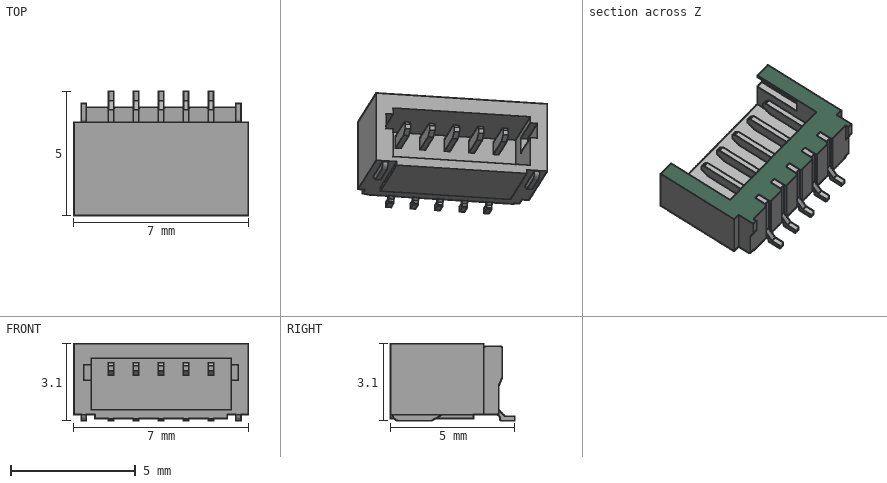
import cadquery as cq

pitch = 1.0
contact_count = 5
metal_thickness = 0.22
small_chamfer = 0.05

housing_width = 7
housing_depth = 3.75
housing_top = 3.1
housing_bottom = 0.25

pad_width = 5.32
pad_depth = 3.345
pad_bottom = 0.1

cavity_width = 5.615
cavity_depth = 3.0
cavity_bottom = 0.455
cavity_top = 2.505
key_slot_span = 6.195
key_slot_depth = 2.0
key_slot_bottom = 1.625
key_slot_top = 2.25

block_back = 4.355
block_top = 2.65

tail_end = 5.0
tail_height = 0.195
tail_bend = 4.6
tail_round = 0.05
heel = 4.395
heel_height = 0.155
leg_back = 4.25
pin_bottom = 1.84
pin_top = 2.345
pin_front = 1.0
pin_nose_bottom = 2.015
pin_nose_top = 2.205
pin_lower_taper = 0.35

hold_down_offset = 3.1
plate_back = 4.5
plate_top = 3.0
plate_step_top = 1.75
plate_step_bottom = 1.415
plate_round = 0.1
foot_front = 0.1
foot_ramp_bottom = 1.65
foot_ramp_top = 2.08


def box_between(width, front, back, bottom, top):
    """Box centred on X that fills the given Y and Z ranges."""
    box = cq.Workplane("XY").box(width, back - front, top - bottom, centered=(True, False, False))
    return box.translate((0, front, bottom))


def side_plane(center_x):
    """Y-Z sketch plane set so that a plate of metal thickness is centred on center_x."""
    return cq.Workplane("YZ", origin=(center_x - metal_thickness / 2, 0, 0))


def make_housing():
    shell = box_between(housing_width, 0, housing_depth, housing_bottom, housing_top)
    pad = box_between(pad_width, 0, pad_depth, pad_bottom, housing_bottom)
    cavity = box_between(cavity_width, 0, cavity_depth, cavity_bottom, cavity_top)
    key_slots = box_between(key_slot_span, 0, key_slot_depth, key_slot_bottom, key_slot_top)
    return shell.union(pad).cut(cavity).cut(key_slots)


def make_block():
    width = 2 * hold_down_offset - metal_thickness
    return box_between(width, housing_depth, block_back, housing_bottom, block_top)


def make_leg_slot(center_x):
    """Vertical slot through the block with a chamfered mouth at its back face."""
    half_slot = metal_thickness / 2
    half_mouth = half_slot + small_chamfer
    outline = [
        (-half_slot, housing_depth),
        (half_slot, housing_depth),
        (half_slot, block_back - small_chamfer),
        (half_mouth, block_back),
        (-half_mouth, block_back),
        (-half_slot, block_back - small_chamfer),
    ]
    slot = cq.Workplane("XY").polyline(outline).close().extrude(block_top - housing_bottom)
    return slot.translate((center_x, 0, housing_bottom))


def make_contact(center_x):
    """Flat contact: tapered mating pin, upright leg in the block and solder tail on the board."""
    upper_taper = pin_top - pin_nose_top
    tail_slope_rise = tail_bend - leg_back
    heel_slope_rise = housing_bottom - heel_height
    outline = [
        (pin_front, pin_nose_bottom),
        (pin_front, pin_nose_top),
        (pin_front + upper_taper, pin_top),
        (leg_back, pin_top),
        (leg_back, tail_height + tail_slope_rise),
        (tail_bend, tail_height),
        (tail_end, tail_height),
        (tail_end, 0),
        (heel + small_chamfer, 0),
        (heel, small_chamfer),
        (heel, heel_height),
        (heel - heel_slope_rise, housing_bottom),
        (housing_depth, housing_bottom),
        (housing_depth, pin_bottom),
        (pin_front + pin_lower_taper, pin_bottom),
    ]
    contact = side_plane(center_x).polyline(outline).close().extrude(metal_thickness)
    return contact.faces(">Y").edges(">Z").fillet(tail_round)


def make_hold_down_plate(center_x):
    """Plate standing against the back of the housing, with rounded corners and a stepped back edge."""
    outline = [
        (housing_depth, housing_bottom),
        (housing_depth, plate_top),
        (plate_back, plate_top),
        (plate_back, plate_step_top),
        (block_back, plate_step_bottom),
        (block_back, housing_bottom),
    ]
    plate = side_plane(center_x).polyline(outline).close().extrude(metal_thickness)
    top_corners = plate.faces(">Z").edges("|X")
    lower_back_corner = plate.faces("<Z").edges("|X and >Y")
    return plate.newObject(top_corners.vals() + lower_back_corner.vals()).fillet(plate_round)


def make_hold_down_foot(center_x):
    """Solder foot under the housing: rounded at the front, ramped at the back."""
    front_radius = housing_bottom
    profile = (
        side_plane(center_x)
        .moveTo(foot_front, housing_bottom)
        .radiusArc((foot_front + front_radius, 0), -front_radius)
        .lineTo(foot_ramp_bottom, 0)
        .lineTo(foot_ramp_top, housing_bottom)
        .close()
    )
    return profile.extrude(metal_thickness)


result = make_housing().union(make_block())

for index in range(contact_count):
    contact_x = (index - (contact_count - 1) / 2) * pitch
    result = result.cut(make_leg_slot(contact_x)).union(make_contact(contact_x))

for hold_down_x in (-hold_down_offset, hold_down_offset):
    result = result.union(make_hold_down_plate(hold_down_x)).union(make_hold_down_foot(hold_down_x))